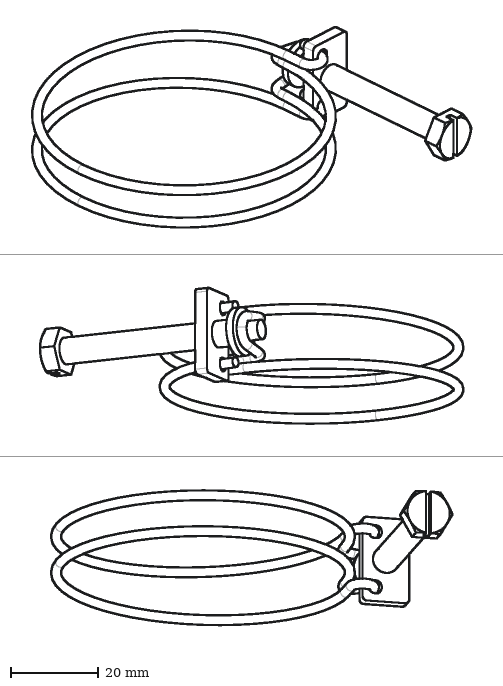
import cadquery as cq
import math


wire_dia = 2.3
loop_outer_radius = 34.75
loop_radius = loop_outer_radius - wire_dia / 2
inner_z = 4.3
outer_z = 6.6

screw_y = 41.65
tip_x = -8.2
tip_dia = 4.5
flange_x = -3.7
flange_thickness = 1.7
flange_dia = 11.2
shank_dia = 6.2
head_x = 42.0
head_end_x = 46.0
head_corner_dia = 11.5
head_chamfer_angle = 30
slot_width = 1.2
slot_depth = 2.2

plate_x = 2.95
plate_thickness = 3.0
plate_width = 11.0
plate_height = 20.0
plate_corner_radius = 1.0
wire_hole_dia = 3.1
wire_hole_y = screw_y - 2.55

saddle_x = flange_x - wire_dia / 2
saddle_radius = (tip_dia + wire_dia) / 2
saddle_splay = math.radians(8)
leg_end_y = 36.7

hook_start_x = 5.2
hook_radius = 2.67
hook_turn = math.radians(80)
wire_end_x = -0.7


def saddle_edges():
    """Quarter of the saddle, its splayed leg and the bend that joins the flat half loop."""
    def on_saddle(angle):
        return cq.Vector(
            saddle_x,
            screw_y + saddle_radius * math.cos(angle),
            saddle_radius * math.sin(angle),
        )

    sweep_angle = math.pi / 2 - saddle_splay
    leg_start = on_saddle(sweep_angle)
    leg_end_z = leg_start.z + (leg_start.y - leg_end_y) * math.tan(saddle_splay)
    leg_end = cq.Vector(saddle_x, leg_end_y, leg_end_z)
    bend_end = cq.Vector(saddle_x + leg_end_y - loop_radius, loop_radius, inner_z)
    leg_direction = cq.Vector(0, -math.cos(saddle_splay), math.sin(saddle_splay))
    return [
        cq.Edge.makeThreePointArc(on_saddle(0), on_saddle(sweep_angle / 2), leg_start),
        cq.Edge.makeLine(leg_start, leg_end),
        cq.Edge.makeSpline([leg_end, bend_end], tangents=[leg_direction, cq.Vector(1, 0, 0)]),
        cq.Edge.makeLine(bend_end, cq.Vector(0, loop_radius, inner_z)),
    ]


def loop_edges():
    """A flat half loop on the +X side, then a tilted half loop climbing on the -X side."""
    loop_top = cq.Vector(0, loop_radius, inner_z)
    loop_bottom = cq.Vector(0, -loop_radius, inner_z)
    climb_end = cq.Vector(0, loop_radius, outer_z)
    half_climb = (outer_z - inner_z) / 2
    tilted_radius = math.hypot(loop_radius, half_climb)
    climb_middle = cq.Vector(-tilted_radius, 0, inner_z + half_climb)
    return [
        cq.Edge.makeThreePointArc(loop_top, cq.Vector(loop_radius, 0, inner_z), loop_bottom),
        cq.Edge.makeThreePointArc(loop_bottom, climb_middle, climb_end),
    ]


def hook_edges():
    """A straight run, a hook and the end that leans toward the screw."""
    hook_center_y = loop_radius + hook_radius

    def on_hook(angle):
        return cq.Vector(
            hook_start_x + hook_radius * math.cos(angle),
            hook_center_y + hook_radius * math.sin(angle),
            outer_z,
        )

    hook_start = on_hook(-math.pi / 2)
    hook_end = on_hook(hook_turn)
    end_rise = (hook_end.x - wire_end_x) / math.tan(hook_turn)
    wire_end = cq.Vector(wire_end_x, hook_end.y + end_rise, outer_z)
    return [
        cq.Edge.makeLine(cq.Vector(0, loop_radius, outer_z), hook_start),
        cq.Edge.makeThreePointArc(hook_start, on_hook(0), hook_end),
        cq.Edge.makeLine(hook_end, wire_end),
    ]


def make_wire():
    path = cq.Wire.assembleEdges(saddle_edges() + loop_edges() + hook_edges())
    saddle_middle = (saddle_x, screw_y + saddle_radius, 0)
    half = (
        cq.Workplane("XY", origin=saddle_middle)
        .circle(wire_dia / 2)
        .sweep(cq.Workplane(path), transition="round")
    )
    return half.union(half.mirror("XY"))


def rod(start_x, end_x, diameter):
    """Cylinder along the screw axis."""
    return (
        cq.Workplane("YZ", origin=(start_x, screw_y, 0))
        .circle(diameter / 2)
        .extrude(end_x - start_x)
    )


def make_head():
    head = (
        cq.Workplane("YZ", origin=(head_x, screw_y, 0))
        .polygon(6, head_corner_dia)
        .extrude(head_end_x - head_x)
    )
    corner_radius = head_corner_dia / 2
    flat_radius = corner_radius * math.cos(math.pi / 6)
    chamfer_depth = (corner_radius - flat_radius) * math.tan(math.radians(head_chamfer_angle))
    envelope = rod(head_x, head_end_x, head_corner_dia).faces(">X").chamfer(
        chamfer_depth, corner_radius - flat_radius
    )
    slot = cq.Workplane("XY", origin=(head_end_x, screw_y, 0)).box(
        2 * slot_depth, slot_width, head_corner_dia
    )
    return head.intersect(envelope).cut(slot)


def make_screw():
    tip = rod(tip_x, flange_x, tip_dia)
    flange = rod(flange_x, flange_x + flange_thickness, flange_dia)
    shank = rod(flange_x, head_x, shank_dia)
    return tip.union(flange).union(shank).union(make_head())


def make_plate():
    return (
        cq.Workplane("YZ", origin=(plate_x, screw_y, 0))
        .rect(plate_width, plate_height)
        .extrude(plate_thickness)
        .edges("|X")
        .fillet(plate_corner_radius)
        .cut(rod(plate_x, plate_x + plate_thickness, shank_dia))
        .cut(
            cq.Workplane("YZ", origin=(plate_x, wire_hole_y, 0))
            .pushPoints([(0, outer_z), (0, -outer_z)])
            .circle(wire_hole_dia / 2)
            .extrude(plate_thickness)
        )
    )


wire = make_wire()
screw = make_screw()
plate = make_plate()

result = cq.Compound.makeCompound([wire.val(), screw.val(), plate.val()])